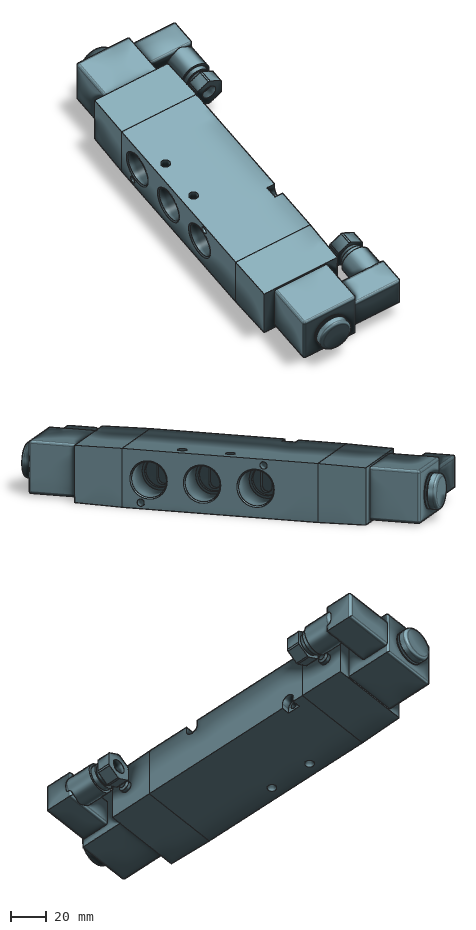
import cadquery as cq
import math

overall_depth = 74.0

body_half_length = 57.5
body_width = 50.0
body_height = 34.0
body_front = -body_width / 2
body_back = body_width / 2

port_row_center = -10.5
port_pitch = 31.5
port_radius = 10.2
port_mouth_radius = 11.0
port_mouth_angle = 45
port_depth = 19.5
throat_radius = 8.8
throat_depth = 2.5
passage_pitch = 30.5
passage_width = 6.5
passage_height = 15.0

mount_radius = 2.7
mount_offset = 14.1
mount_from_front = 7.5

bolt_radius = 2.07
bolt_offset_x = 36.0
bolt_offset_z = 13.5
bolt_seat_width = 8.0
bolt_seat_depth = 5.0

cap_length = 28.0
cap_draft_inset = 0.5
cap_end = body_half_length + cap_length
override_x = 74.8
override_radius = 3.5
override_height = 3.2
override_chamfer = 1.2

coil_size_y = 34.9
coil_size_z = 30.5
coil_end = 115.0
coil_round = 1.35

knob_end = 122.0
knob_start = 117.0
knob_radius = 10.2
knob_round = 1.7
knob_neck_radius = 7.0
knob_washer_thickness = 0.5

plug_inner_x = 95.8
plug_outer_x = 114.3
plug_back = 47.8
plug_height = 18.8
plug_round = 1.5

gland_outer_x = 100.0
gland_round = 2.5
gland_radius = 9.3
gland_y = overall_depth - body_width / 2 - gland_radius
gland_end = 81.0
collar_radius = 7.8
collar_end = 78.0
neck_radius = 6.5
neck_end = 75.3
nut_end = 67.0
nut_across_flats = 16.5
nut_corner_radius = 9.3
cable_hole_radius = 4.5
cable_hole_depth = 4.9


def x_cylinder(radius, x_from, x_to, y=0.0):
    """Cylinder along X between two X positions, on the mid-height plane."""
    return cq.Workplane("YZ", origin=(x_from, y, 0)).circle(radius).extrude(x_to - x_from)


def front_plane(x, z, depth=0.0):
    """Workplane facing into the front face, its normal along +Y."""
    return cq.Workplane("XZ", origin=(x, body_front + depth, z)).transformed(rotate=(180, 0, 0))


def make_port_cutter(index):
    """Port bore, countersunk mouth, throat and passage to mid-depth for one position in the row."""
    port_x = port_row_center + index * port_pitch
    passage_x = port_row_center + index * passage_pitch
    mouth_depth = (port_mouth_radius - port_radius) / math.tan(math.radians(port_mouth_angle))
    bore = front_plane(port_x, 0).circle(port_radius).extrude(port_depth)
    mouth = front_plane(port_x, 0).circle(port_mouth_radius).extrude(mouth_depth, taper=port_mouth_angle)
    throat = front_plane(port_x, 0, port_depth).circle(throat_radius).extrude(throat_depth)
    passage_start = port_depth + throat_depth
    passage = (
        front_plane(passage_x, 0, passage_start)
        .slot2D(passage_height, passage_width, 90)
        .extrude(body_width / 2 - passage_start)
    )
    return bore.union(mouth).union(throat).union(passage)


def make_bolt_cutter(side):
    """Through hole, with a round-bottomed seat at the back that opens through the nearer face."""
    x = port_row_center + side * bolt_offset_x
    z = side * bolt_offset_z
    hole = front_plane(x, z).circle(bolt_radius).extrude(body_width)
    seat_plane = front_plane(x, z, body_width - bolt_seat_depth)
    seat = seat_plane.circle(bolt_seat_width / 2).extrude(bolt_seat_depth)
    opening_height = body_height / 2 - bolt_offset_z
    opening = cq.Workplane("XY").box(bolt_seat_width, bolt_seat_depth, opening_height).translate(
        (x, body_back - bolt_seat_depth / 2, side * (bolt_offset_z + opening_height / 2))
    )
    return hole.union(seat).union(opening)


def make_mount_cutter(side):
    """Vertical through hole near the front face, beside the middle port."""
    x = port_row_center + side * mount_offset
    y = body_front + mount_from_front
    hole = cq.Workplane("XY", origin=(x, y, -body_height / 2)).circle(mount_radius)
    return hole.extrude(body_height)


def make_valve_body():
    """Block with its ports, bolt holes and mounting holes."""
    body = cq.Workplane("XY").box(2 * body_half_length, body_width, body_height)
    for index in (-1, 0, 1):
        body = body.cut(make_port_cutter(index))
    for side in (-1, 1):
        body = body.cut(make_bolt_cutter(side)).cut(make_mount_cutter(side))
    return body


def make_end_cap():
    """Drafted cap at the +X end, with a manual override button on its back."""
    draft = math.degrees(math.atan(cap_draft_inset / cap_length))
    cap = (
        cq.Workplane("YZ", origin=(body_half_length, 0, 0))
        .rect(body_width, body_height)
        .extrude(cap_length, taper=draft)
    )
    button = (
        cq.Workplane("XZ", origin=(override_x, body_back + override_height, 0))
        .circle(override_radius)
        .extrude(2 * override_height)
        .faces(">Y")
        .chamfer(override_chamfer)
    )
    return cap.union(button)


def make_coil():
    """Coil housing, rounded around its outer end and along its two front edges."""
    length = coil_end - cap_end
    coil = cq.Workplane("XY").box(length, coil_size_y, coil_size_z)
    coil = coil.edges(">X or (|X and <Y)").fillet(coil_round)
    return coil.translate((cap_end + length / 2, 0, 0))


def make_knob():
    """Round retaining nut on a narrower neck, with a thin washer against the coil."""
    washer = x_cylinder(knob_radius, coil_end, coil_end + knob_washer_thickness)
    neck = x_cylinder(knob_neck_radius, coil_end, knob_start)
    head = x_cylinder(knob_radius, knob_start, knob_end).faces(">X").edges().fillet(knob_round)
    return washer.union(neck).union(head)


def make_plug():
    """Connector block, rounded around its inner and outer X faces."""
    length = plug_outer_x - plug_inner_x
    block = cq.Workplane("XY").box(length, plug_back, plug_height)
    block = block.faces("<X or >X").edges("not <Y").fillet(plug_round)
    return block.translate((plug_inner_x + length / 2, plug_back / 2, 0))


def make_gland():
    """Stepped cable gland ending in a hexagon nut with rounded corners and a cable hole."""
    barrel = x_cylinder(gland_radius, gland_end, gland_outer_x, gland_y)
    barrel = barrel.faces(">X").edges().fillet(gland_round)
    collar = x_cylinder(collar_radius, collar_end, gland_end, gland_y)
    neck = x_cylinder(neck_radius, neck_end, collar_end, gland_y)
    hexagon = (
        cq.Workplane("YZ", origin=(nut_end, gland_y, 0))
        .polygon(6, nut_across_flats, circumscribed=True)
        .extrude(neck_end - nut_end)
    )
    nut = hexagon.intersect(x_cylinder(nut_corner_radius, nut_end, neck_end, gland_y))
    cable_hole = x_cylinder(cable_hole_radius, nut_end, nut_end + cable_hole_depth, gland_y)
    return barrel.union(collar).union(neck).union(nut).cut(cable_hole)


def make_solenoid():
    """Coil, retaining nut, plug and gland as one body at the +X end."""
    return make_coil().union(make_knob()).union(make_plug()).union(make_gland())


valve_body = make_valve_body()

end_bodies = []
for make_end_body in (make_end_cap, make_solenoid):
    right_body = make_end_body()
    left_body = right_body.mirror("YZ")
    end_bodies += [right_body.val(), left_body.val()]

result = cq.Compound.makeCompound([valve_body.val(), *end_bodies])